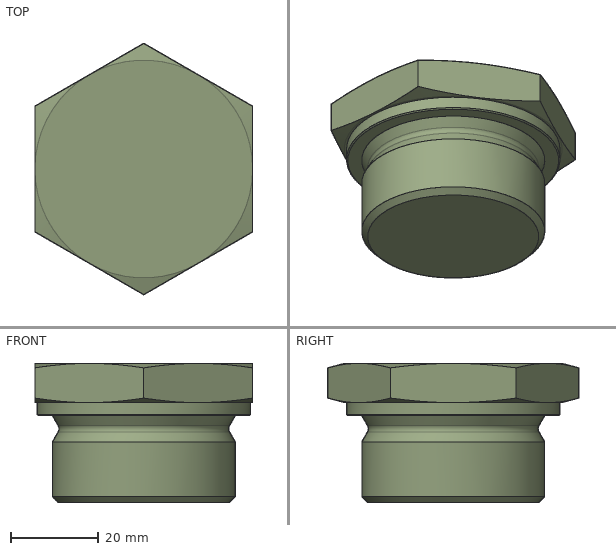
import cadquery as cq
import math

corner_width = 57.75
flat_width = corner_width * math.cos(math.radians(30))
total_height = 32.0
head_height = 9.0
head_chamfer_angle = math.radians(15)

collar_radius = 49.0 / 2
collar_height = 3.0
collar_edge = 0.3

shank_radius = 42.0 / 2
shank_chamfer = 1.4
groove_width = 6.0
groove_floor_radius = 1.5
groove_flank_angle = math.radians(30)

head_bottom = total_height - head_height
collar_bottom = head_bottom - collar_height
shank_top = collar_bottom - groove_width
groove_middle = (collar_bottom + shank_top) / 2

floor_half_width = groove_floor_radius * math.sin(groove_flank_angle)
flank_height = groove_width / 2 - floor_half_width
floor_edge_radius = shank_radius - flank_height * math.tan(groove_flank_angle)
groove_radius = floor_edge_radius - groove_floor_radius * (1 - math.cos(groove_flank_angle))


def make_head():
    """Hexagon with corners on the Y axis, both faces chamfered down to the flats."""
    hexagon = (
        cq.Workplane("XY", origin=(0, 0, head_bottom))
        .polygon(6, corner_width)
        .extrude(head_height)
        .rotate((0, 0, 0), (0, 0, 1), 30)
    )
    flat_radius = flat_width / 2
    corner_radius = corner_width / 2
    drop = (corner_radius - flat_radius) * math.tan(head_chamfer_angle)
    envelope = (
        cq.Workplane("XZ")
        .moveTo(0, head_bottom)
        .lineTo(flat_radius, head_bottom)
        .lineTo(corner_radius, head_bottom + drop)
        .lineTo(corner_radius, total_height - drop)
        .lineTo(flat_radius, total_height)
        .lineTo(0, total_height)
        .close()
        .revolve(360, (0, 0, 0), (0, 1, 0))
    )
    return hexagon.intersect(envelope)


def make_body():
    """Collar, relief groove and shank as one turned profile."""
    return (
        cq.Workplane("XZ")
        .moveTo(0, 0)
        .lineTo(shank_radius - shank_chamfer, 0)
        .lineTo(shank_radius, shank_chamfer)
        .lineTo(shank_radius, shank_top)
        .lineTo(floor_edge_radius, groove_middle - floor_half_width)
        .threePointArc(
            (groove_radius, groove_middle),
            (floor_edge_radius, groove_middle + floor_half_width),
        )
        .lineTo(shank_radius, collar_bottom)
        .lineTo(collar_radius - collar_edge, collar_bottom)
        .lineTo(collar_radius, collar_bottom + collar_edge)
        .lineTo(collar_radius, head_bottom)
        .lineTo(0, head_bottom)
        .close()
        .revolve(360, (0, 0, 0), (0, 1, 0))
    )


result = make_head().union(make_body())